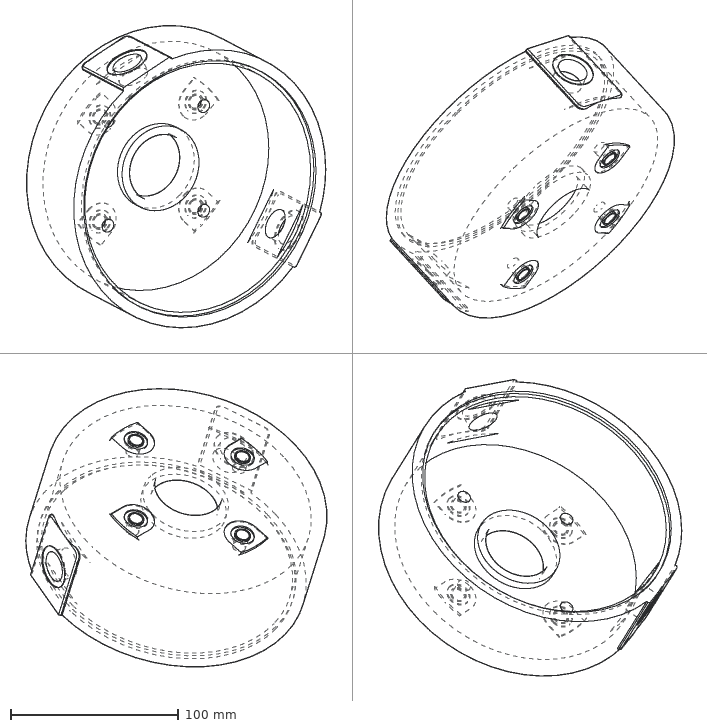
import cadquery as cq
import math

outer_d = 171.5
depth = 65.2
boss_h = 1.63
wall = 9.0
rim_fillet = 6.3
lip_d = 158.0
lip_depth = 2.5
cavity_d = outer_d - 2 * wall

hub_d = 52.3
hub_len = 14.7
bore_d = 41.3
bore_fillet = 0.9

pad_angles = (115, 330)
pad_width = 36.3
pad_start = 11.1
pad_corner = 4.3
pad_edge = 1.0
inner_pad_dist = 74.8
port_x = 40.6
port_d = 18.2
port_face_d = 25.5
port_face_depth = 0.7

boss_offset = 32.5
boss_d = 22.6
boss_limit_r = 57.3
boss_flare = 1.4
screw_d = 7.9
groove_inner_d = 9.6
groove_outer_d = 14.2
groove_depth = 1.0
boss_angles = [45 + 90 * i for i in range(4)]

outer_r = outer_d / 2
boss_dist = boss_offset * math.sqrt(2)


def rod(x, d, length):
    """Cylinder along +X that starts at x."""
    return cq.Workplane("YZ").workplane(offset=x).circle(d / 2).extrude(length)


def turn(shape, angle):
    """Turn a shape about the X axis so that its +Y side points along angle."""
    return shape.rotate((0, 0, 0), (1, 0, 0), angle)


def radial_plane(distance):
    """Plane facing +Y at a distance from the axis, local axes X and -Z, centred on the port."""
    return cq.Workplane(cq.Plane((port_x, distance, 0), (1, 0, 0), (0, 1, 0)))


def cup():
    shell = rod(boss_h, outer_d, depth - boss_h).faces("<X").edges().fillet(rim_fillet)
    shell = shell.cut(rod(boss_h + wall, cavity_d, depth))
    return shell.cut(rod(depth - lip_depth, lip_d, lip_depth))


def outer_pad():
    """Flat pad outside the wall, rounded at its front corners and open to the back rim."""
    length = depth - pad_start
    base = cavity_d / 2
    pad = (radial_plane(base)
           .center(pad_start + length / 2 - port_x, 0)
           .rect(length, pad_width)
           .extrude(outer_r - base)
           .edges("|Y and <X").fillet(pad_corner)
           .faces(">Y").edges("not >X").chamfer(pad_edge))
    return pad.cut(rod(0, lip_d, depth))


def inner_pad():
    """Square flat inside the wall, behind the outer pad."""
    pad = radial_plane(inner_pad_dist).rect(pad_width, pad_width).extrude(outer_r - inner_pad_dist)
    return pad.intersect(rod(0, lip_d, depth))


def port_cut():
    """Port through the wall with a shallow spot face on the outer pad."""
    hole = radial_plane(0).circle(port_d / 2).extrude(outer_r)
    face = radial_plane(outer_r - port_face_depth).circle(port_face_d / 2).extrude(port_face_depth)
    return hole.union(face)


def boss():
    """Teardrop boss with a flared foot: round towards the axis, ended by an arc about the axis."""
    half_width = boss_d / 2
    foot_size = 2 * boss_d
    teardrop = (cq.Workplane("YZ")
                .moveTo(foot_size / 2, half_width)
                .lineTo(0, half_width)
                .threePointArc((-half_width, 0), (0, -half_width))
                .lineTo(foot_size / 2, -half_width)
                .close()
                .extrude(2 * boss_h))
    foot = cq.Workplane("YZ").workplane(offset=boss_h).rect(foot_size, foot_size).extrude(boss_h)
    blank = teardrop.union(foot)
    margin = boss_flare
    root_zone = cq.selectors.BoxSelector(
        (boss_h - margin / 2, -half_width - margin, -half_width - margin),
        (boss_h + margin / 2, half_width + margin, half_width + margin))
    blank = blank.edges(root_zone).fillet(boss_flare)
    return blank.translate((0, boss_dist, 0)).intersect(rod(0, 2 * boss_limit_r, depth))


def bore_cut():
    """Hub bore, flared by a rounding at both ends."""
    back = boss_h + hub_len
    half_profile = (cq.Workplane("XY")
                    .moveTo(boss_h, 0)
                    .lineTo(boss_h, bore_d / 2 + bore_fillet)
                    .radiusArc((boss_h + bore_fillet, bore_d / 2), -bore_fillet)
                    .lineTo(back - bore_fillet, bore_d / 2)
                    .radiusArc((back, bore_d / 2 + bore_fillet), -bore_fillet)
                    .lineTo(back, 0)
                    .close())
    return half_profile.revolve(360, (0, 0, 0), (1, 0, 0))


def screw_cut():
    """Screw hole with a shallow ring groove around it in the boss face."""
    hole = rod(0, screw_d, boss_h + wall)
    groove = rod(0, groove_outer_d, groove_depth).cut(rod(0, groove_inner_d, groove_depth))
    return hole.union(groove).translate((0, boss_dist, 0))


result = cup()

for angle in pad_angles:
    result = result.union(turn(outer_pad(), angle))
    result = result.union(turn(inner_pad(), angle))
    result = result.cut(turn(port_cut(), angle))

result = result.union(rod(boss_h, hub_d, hub_len)).cut(bore_cut())

for angle in boss_angles:
    result = result.union(turn(boss(), angle)).cut(turn(screw_cut(), angle))